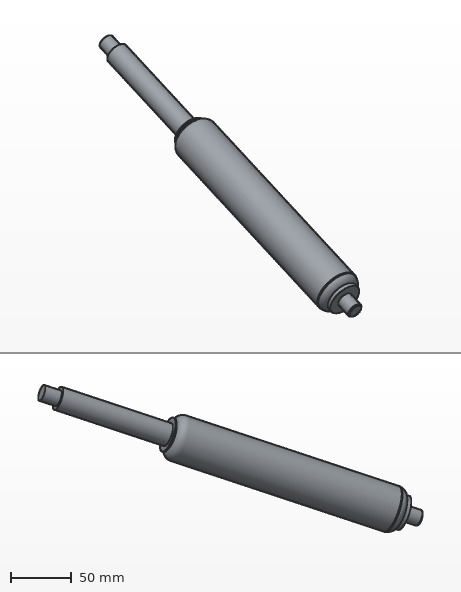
import cadquery as cq

TOTAL_LENGTH = 347.0
TUBE_DIAMETER = 40.0
ROD_DIAMETER = 20.0
STUD_DIAMETER = 14.0
COLLAR_DIAMETER = 30.0
NECK_DIAMETER = 25.0

STUD_LENGTH = 15.0
STUD_CHAMFER = 1.0
GUIDE_FRONT = 115.5
COLLAR_THICKNESS = 1.0
NECK_LENGTH = 1.5
ROD_INSERTION = 20.8
CAP_SEAM = 320.5
CAP_RIM_LENGTH = 1.0
CAP_STEP = 0.5
CAP_DOME_RADIUS = 7.3
CAP_COLLAR_BACK = 332.0

TUBE_RADIUS = TUBE_DIAMETER / 2
ROD_RADIUS = ROD_DIAMETER / 2
STUD_RADIUS = STUD_DIAMETER / 2
COLLAR_RADIUS = COLLAR_DIAMETER / 2
NECK_RADIUS = NECK_DIAMETER / 2
DOME_RADIUS = TUBE_RADIUS - NECK_RADIUS
TUBE_FRONT = GUIDE_FRONT + COLLAR_THICKNESS + NECK_LENGTH
ROD_END = TUBE_FRONT + ROD_INSERTION
CAP_RIM_BACK = CAP_SEAM + CAP_RIM_LENGTH
CAP_DOME_BACK = CAP_RIM_BACK + CAP_DOME_RADIUS


def cylinder(start, end, radius):
    """Solid cylinder on the X axis between two X positions."""
    return cq.Workplane("YZ", origin=(start, 0, 0)).circle(radius).extrude(end - start)


def make_rod():
    """Piston rod with a thinner stud on its free end."""
    rod = cylinder(STUD_LENGTH, ROD_END, ROD_RADIUS)
    return rod.union(cylinder(0, STUD_LENGTH, STUD_RADIUS))


def make_guide():
    """Ring around the rod: a thin collar and a narrower neck that rests on the tube."""
    neck_start = GUIDE_FRONT + COLLAR_THICKNESS
    guide = cylinder(GUIDE_FRONT, neck_start, COLLAR_RADIUS)
    guide = guide.union(cylinder(neck_start, TUBE_FRONT, NECK_RADIUS))
    return guide.cut(cylinder(GUIDE_FRONT, TUBE_FRONT, ROD_RADIUS))


def make_tube():
    """Pressure tube with a domed front end and a blind bore for the rod."""
    tube = cylinder(TUBE_FRONT, CAP_SEAM, TUBE_RADIUS).faces("<X").edges().fillet(DOME_RADIUS)
    return tube.cut(cylinder(TUBE_FRONT, ROD_END, ROD_RADIUS))


def make_end_cap():
    """Domed rear cap with a stepped rim, a collar and a chamfered stud."""
    cap = cylinder(CAP_SEAM, CAP_DOME_BACK, TUBE_RADIUS - CAP_STEP)
    cap = cap.faces(">X").edges().fillet(CAP_DOME_RADIUS)
    cap = cap.union(cylinder(CAP_SEAM, CAP_RIM_BACK, TUBE_RADIUS))
    cap = cap.union(cylinder(CAP_SEAM, CAP_COLLAR_BACK, COLLAR_RADIUS))
    stud = cylinder(CAP_COLLAR_BACK, TOTAL_LENGTH, STUD_RADIUS).faces(">X").chamfer(STUD_CHAMFER)
    return cap.union(stud)


rod = make_rod()
guide = make_guide()
tube = make_tube()
end_cap = make_end_cap()

result = cq.Compound.makeCompound([rod.val(), guide.val(), tube.val(), end_cap.val()])